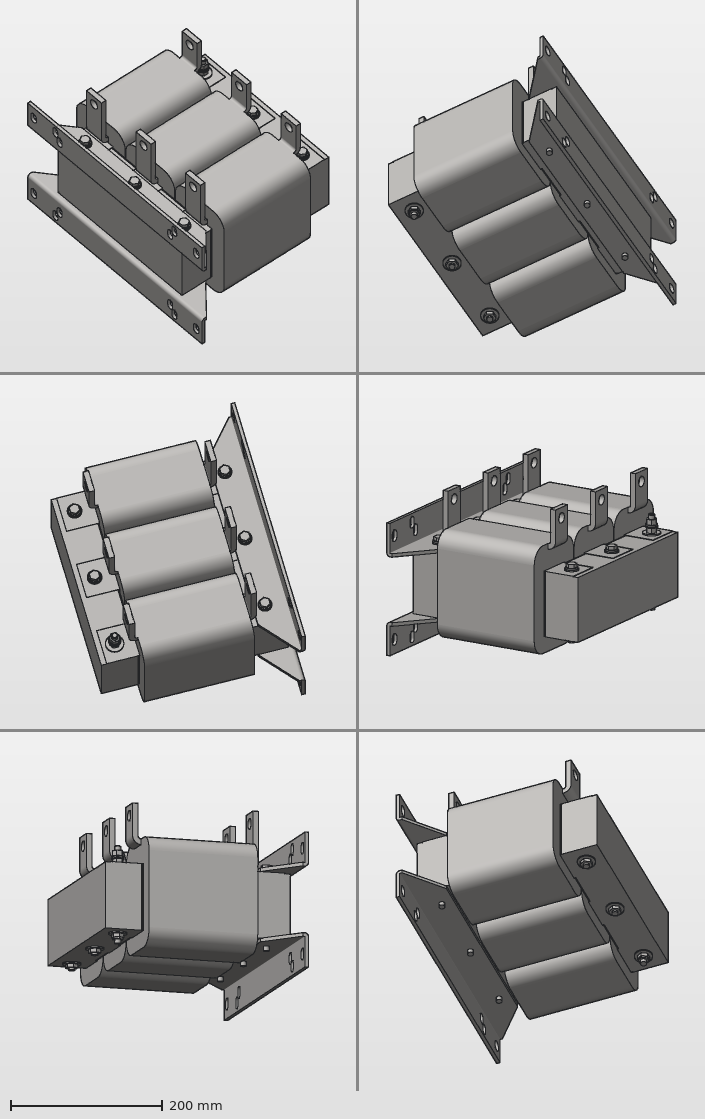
import cadquery as cq
import math


phase_pitch = 100.0
limb_width = phase_pitch / 2
core_width = 2 * phase_pitch + limb_width
core_length = 256.3
core_height = 89.5
yoke_depth = 50.5
window_width = phase_pitch - limb_width
window_length = core_length - 2 * yoke_depth
core_top = core_height / 2
core_back = core_length / 2
yoke_middle = core_back - yoke_depth / 2
phase_centers = [-phase_pitch, 0, phase_pitch]

sheet_thickness = 1.5
sheet_inset = 0.5

limb_inset = 0.7

strip_length = 241.5
strip_thickness = 0.7
strip_top = core_top + strip_thickness

coil_width = 98.2
coil_length = 150.5
coil_radius = 22.0
coil_top = 81.0
coil_bottom = -67.5

terminal_width = 30.3
terminal_thickness = 7.7
terminal_bend = 4.0
terminal_top = 129.0
terminal_outer_y = 87.3
back_terminal_base = coil_top - terminal_thickness
front_terminal_base = 48.2
terminal_hole = 14.0
terminal_hole_drop = 14.5

bracket_length = 352.0
bracket_height = 46.0
bracket_thickness = 5.0
bracket_bend = 0.5
bracket_front = -137.3
flange_back = -86.5
flange_taper_end = -129.2
end_slot_width = 11.0
inner_slot_width = 9.5
slot_height = 16.0
bracket_slots = [
    (164.0, 19.7, end_slot_width),
    (120.0, 12.3, inner_slot_width),
    (111.5, 24.5, inner_slot_width),
]

hex_size = 12.5
front_bolt_diameter = 7.7
front_bolt_bottom = -55.5
rear_bolt_diameter = 8.5
rear_bolt_bottom = -54.2
stud_bottom = -59.0
stud_top = 72.5
stud_chamfer = 1.0
flat_washer = 1.8
spring_washer = 2.0
bolt_head_height = 5.0
wide_washer_diameter = 24.3
front_washer_diameter = 18.3
rear_washer_diameter = 19.5
spring_washer_diameter = 16.5
thin_washer_diameter = 16.0
upper_nut_height = 7.5
lower_nut_size = 14.5
lower_nut_height = 5.0
locknut_height = 2.5


def block(x_size, y_size, z_size, x=0, y=0, z=0):
    """Box centred on x and y, with its bottom at z."""
    return cq.Workplane("XY").box(x_size, y_size, z_size, (True, True, False)).translate((x, y, z))


def disc(diameter, height, x, y, z):
    return cq.Workplane("XY").circle(diameter / 2).extrude(height).translate((x, y, z))


def hexagon(across_flats, height, x, y, z, turn=0):
    """Hexagonal prism with corners along X, or turned about Z."""
    across_corners = across_flats / math.cos(math.pi / 6)
    prism = cq.Workplane("XY").polygon(6, across_corners).extrude(height)
    return prism.rotate((0, 0, 0), (0, 0, 1), turn).translate((x, y, z))


def make_core():
    core = block(core_width, core_length, core_height, z=-core_top)
    sheet_y = (window_length - sheet_thickness) / 2
    for side in (-1, 1):
        window = block(window_width, window_length, core_height, side * phase_pitch / 2, 0, -core_top)
        core = core.cut(window)
    limb_recess = block(limb_inset, window_length, core_height, z=-core_top)
    for side in (-1, 1):
        core = core.cut(limb_recess.translate((side * (core_width - limb_inset) / 2, 0, 0)))
    for side in (-1, 1):
        sheet = block(
            core_width - 2 * sheet_inset,
            sheet_thickness,
            core_height - 2 * sheet_inset,
            y=side * sheet_y,
            z=sheet_inset - core_top,
        )
        core = core.union(sheet)
    return core


def make_coil(x):
    coil = block(coil_width, coil_length, coil_top - coil_bottom, x, 0, coil_bottom)
    return coil.edges("|Y").fillet(coil_radius)


def make_terminal(x, base, side):
    """Bent bar leaving the coil at height base, at the back (side 1) or front (side -1)."""
    outer_radius = terminal_bend + terminal_thickness
    inner_y = terminal_outer_y - terminal_thickness
    bend_y = terminal_outer_y - outer_radius
    root_y = coil_length / 2 - terminal_thickness
    bend_z = base + outer_radius
    diagonal = math.sqrt(0.5)
    bar = (
        cq.Workplane("YZ")
        .moveTo(root_y, base)
        .lineTo(bend_y, base)
        .threePointArc(
            (bend_y + outer_radius * diagonal, bend_z - outer_radius * diagonal),
            (terminal_outer_y, bend_z),
        )
        .lineTo(terminal_outer_y, terminal_top)
        .lineTo(inner_y, terminal_top)
        .lineTo(inner_y, bend_z)
        .threePointArc(
            (bend_y + terminal_bend * diagonal, bend_z - terminal_bend * diagonal),
            (bend_y, base + terminal_thickness),
        )
        .lineTo(root_y, base + terminal_thickness)
        .close()
        .extrude(terminal_width / 2, both=True)
    )
    hole = (
        cq.Workplane("XZ", origin=(0, terminal_outer_y, terminal_top - terminal_hole_drop))
        .circle(terminal_hole / 2)
        .extrude(terminal_thickness)
    )
    bar = bar.cut(hole)
    if side < 0:
        bar = bar.mirror("XZ")
    return bar.translate((x, 0, 0))


def make_bracket():
    """Angle with its flange resting on z = 0 and its slotted leg pointing up."""
    flange_end = bracket_front + bracket_thickness
    angle = (
        cq.Workplane("YZ")
        .moveTo(flange_back, 0)
        .lineTo(bracket_front, 0)
        .lineTo(bracket_front, bracket_height)
        .lineTo(flange_end, bracket_height)
        .lineTo(flange_end, bracket_thickness)
        .lineTo(flange_back, bracket_thickness)
        .close()
        .extrude(bracket_length / 2, both=True)
    )
    outer_corner = cq.selectors.NearestToPointSelector((0, bracket_front, 0))
    angle = angle.edges(outer_corner).fillet(bracket_bend + bracket_thickness)
    inner_corner = cq.selectors.NearestToPointSelector((0, flange_end, bracket_thickness))
    angle = angle.edges(inner_corner).fillet(bracket_bend)

    half_length = bracket_length / 2
    plan = (
        cq.Workplane("XY")
        .polyline([
            (-core_width / 2, flange_back),
            (core_width / 2, flange_back),
            (half_length, flange_taper_end),
            (half_length, bracket_front),
            (-half_length, bracket_front),
            (-half_length, flange_taper_end),
        ])
        .close()
        .extrude(bracket_height)
    )
    angle = angle.intersect(plan)

    for offset, drop, width in bracket_slots:
        slots = (
            cq.Workplane("XZ", origin=(0, flange_end, bracket_height - drop))
            .pushPoints([(-offset, 0), (offset, 0)])
            .slot2D(slot_height, width, 90)
            .extrude(bracket_thickness)
        )
        angle = angle.cut(slots)
    return angle


def make_stack(x, y, z, layers):
    """Pile up layers from z; each is (height, disc diameter) or (height, hexagon size, turn)."""
    stack = cq.Workplane("XY")
    for height, size, *turn in layers:
        if turn:
            layer = hexagon(size, height, x, y, z, turn[0])
        else:
            layer = disc(size, height, x, y, z)
        stack = stack.add(layer)
        z += height
    return stack.combine()


def make_bolt_head(x, y, z, washer_diameter):
    return make_stack(x, y, z, [
        (flat_washer, washer_diameter),
        (spring_washer, spring_washer_diameter),
        (bolt_head_height, hex_size, 0),
    ])


def make_front_bolt(x):
    y = -yoke_middle
    flange_top = strip_top + bracket_thickness
    head = make_bolt_head(x, y, flange_top, front_washer_diameter)
    shank = disc(front_bolt_diameter, flange_top - front_bolt_bottom, x, y, front_bolt_bottom)
    return head.union(shank)


def make_rear_bolt(x):
    y = yoke_middle
    head = make_bolt_head(x, y, strip_top, rear_washer_diameter)
    shank = disc(rear_bolt_diameter, strip_top - rear_bolt_bottom, x, y, rear_bolt_bottom)
    lower = make_stack(x, y, -core_top - flat_washer - lower_nut_height, [
        (lower_nut_height, lower_nut_size, 0),
        (flat_washer, wide_washer_diameter),
    ])
    return head.union(shank).union(lower)


def make_earth_stud(x):
    y = yoke_middle
    upper = make_stack(x, y, strip_top, [
        (flat_washer, wide_washer_diameter),
        (upper_nut_height, hex_size, 90),
        (flat_washer, spring_washer_diameter),
        (spring_washer, thin_washer_diameter),
        (upper_nut_height, hex_size, 90),
    ])
    shank = disc(rear_bolt_diameter, stud_top - stud_bottom, x, y, stud_bottom)
    shank = shank.faces(">Z").chamfer(stud_chamfer)
    lower = make_stack(x, y, -core_top - flat_washer - lower_nut_height - locknut_height, [
        (locknut_height, hex_size, 0),
        (lower_nut_height, lower_nut_size, 0),
        (flat_washer, wide_washer_diameter),
    ])
    return upper.union(shank).union(lower)


result = make_core()
for center in phase_centers:
    strip = block(limb_width, strip_length, strip_thickness, center, 0, core_top)
    result = result.union(strip)
    result = result.union(make_coil(center))
    result = result.union(make_terminal(center, back_terminal_base, 1))
    result = result.union(make_terminal(center, front_terminal_base, -1))

bracket = make_bracket()
result = result.union(bracket.translate((0, 0, strip_top)))
result = result.union(bracket.mirror("XY").translate((0, 0, -core_top)))

for center in phase_centers:
    result = result.union(make_front_bolt(center))
result = result.union(make_earth_stud(phase_centers[0]))
for center in phase_centers[1:]:
    result = result.union(make_rear_bolt(center))